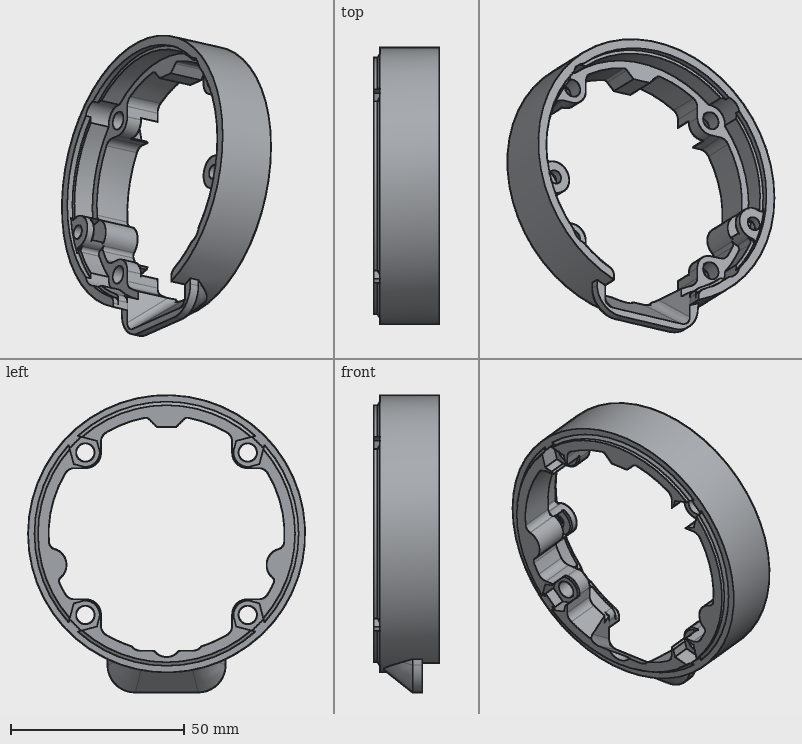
import cadquery as cq
import math


length = 19.0
outer_radius = 40.0
bore_radius = 34.0
bore_depth = 10.8
recess_radius = 36.2

spigot_length = 1.8
spigot_radius = 37.1
spigot_straight = 1.1
spigot_base_radius = 38.1
socket_radius = 37.3
socket_start = 17.2

boss_offset = 23.4
boss_radius = 4.55
boss_blend = 3.0
boss_hole_diameter = 5.2
boss_counterbore_radius = 4.7
nut_corner_radius = 4.7
nut_pocket_depth = 5.6

lobe_y = 33.7
lobe_z = -9.0
lobe_radius = 4.8
lobe_upper_blend = 2.2
lobe_lower_blend = 1.3
lobe_rear_blend = 1.1
lobe_end = 17.9
lobe_hole_diameter = 4.0
lobe_slot_width = 7.7
lobe_slot_start = 11.3
lobe_slot_end = 15.2
lobe_slot_back = 2.15

seat_chamfer = 0.4

tab_bottom_z = 30.7
tab_half_width = 2.75
tab_rise = 3.9
tab_blend = 1.3

spout_end = 14.1
spout_lip = 2.8
spout_bottom_z = -45.85
spout_half_width = 17.1
spout_corner = 8.0
spout_front_bottom_z = -38.4
spout_front_half_width = 10.65
spout_front_corner = 3.4
spout_top_z = -32.6

mouth_half_width = 14.3
mouth_bottom_z = -43.8
mouth_corner = 2.75
mouth_rounding = 2.6
channel_half_width = 10.65
channel_bottom_z = -33.75
channel_corner = 3.1
channel_top_z = -25.8

groove_radius = 4.5
groove_z = -31.1


def plane_at(x):
    """Work plane across the ring axis: local axes are Y and Z, the normal is +X."""
    return cq.Workplane("YZ", origin=(x, 0, 0))


def rod(start, end, radius, y=0, z=0):
    return plane_at(start).center(y, z).circle(radius).extrude(end - start)


def block(start, end, y_min, y_max, z_min, z_max):
    size = (end - start, y_max - y_min, z_max - z_min)
    return cq.Workplane(origin=(start, y_min, z_min)).box(*size, centered=False)


def facing_axis(solid, y, z):
    """Turn a cutter made along +Y so that +Y points from (y, z) to the ring axis, and move it there."""
    angle = math.degrees(math.atan2(-z, -y))
    return solid.rotate((0, 0, 0), (1, 0, 0), angle).translate((0, y, z))


def mirrored(solid):
    return solid.union(solid.mirror("XZ"))


def make_ring():
    profile = [
        (0, 0),
        (0, spigot_radius),
        (spigot_straight, spigot_radius),
        (spigot_length, spigot_base_radius),
        (spigot_length, outer_radius),
        (length, outer_radius),
        (length, 0),
    ]
    return cq.Workplane("XY").polyline(profile).close().revolve(360, (0, 0, 0), (1, 0, 0))


def blend(cavity, y, z, radius):
    """Round the lengthwise cavity edges that lie at (y, z) and its mirror image."""
    reach = 0.4
    bounds = cavity.val().BoundingBox()
    for side in (1, -1):
        low_corner = (bounds.xmin - reach, side * y - reach, z - reach)
        high_corner = (bounds.xmax + reach, side * y + reach, z + reach)
        edge = cavity.edges("|X").edges(cq.selectors.BoxSelector(low_corner, high_corner))
        cavity = edge.fillet(radius)
    return cavity


def make_cavity(start, end, radius, upper_blend, lower_blend):
    """Round cavity with the two side lobes left standing in it."""
    cavity = rod(start, end, radius)
    cavity = cavity.cut(mirrored(rod(start, end, lobe_radius, lobe_y, lobe_z)))
    distance = math.hypot(lobe_y, lobe_z)
    direction = math.atan2(lobe_z, lobe_y)
    spread = math.acos((distance**2 + radius**2 - lobe_radius**2) / (2 * distance * radius))
    for turn, size in ((spread, upper_blend), (-spread, lower_blend)):
        y = radius * math.cos(direction + turn)
        z = radius * math.sin(direction + turn)
        cavity = blend(cavity, y, z, size)
    return cavity


def make_opening(start, end, radius):
    """Opening behind the spout mouth, with rounded edges where it meets a cavity of this radius."""
    outline = trough(start, mouth_half_width, mouth_bottom_z, channel_top_z, mouth_corner)
    lower_part = block(start, end, -outer_radius, outer_radius, -outer_radius, channel_top_z)
    opening = rod(start, end, radius).intersect(lower_part).union(outline.extrude(end - start))
    edge_z = -math.sqrt(radius**2 - mouth_half_width**2)
    return blend(opening, mouth_half_width, edge_z, mouth_rounding)


def make_bore():
    bore = make_cavity(0, bore_depth, bore_radius, lobe_upper_blend, lobe_lower_blend)

    near = boss_offset - boss_radius
    corner = block(0, bore_depth, near, outer_radius, near, outer_radius)
    corner = corner.edges("|X and <Y and <Z").fillet(boss_radius)
    corners = mirrored(corner)
    bore = bore.cut(corners.union(corners.mirror("XY")))
    far = math.sqrt(bore_radius**2 - near**2)
    for y, z in ((near, far), (far, near), (near, -far), (far, -near)):
        bore = blend(bore, y, z, boss_blend)

    tab_top = tab_bottom_z + tab_rise
    tab_top_half_width = tab_half_width + tab_rise
    tab = plane_at(0).polyline([
        (-tab_half_width, tab_bottom_z),
        (tab_half_width, tab_bottom_z),
        (tab_top_half_width, tab_top),
        (-tab_top_half_width, tab_top),
    ]).close().extrude(bore_depth)
    bore = bore.cut(tab)
    flank_shift = tab_bottom_z - tab_half_width
    root_y = (math.sqrt(2 * bore_radius**2 - flank_shift**2) - flank_shift) / 2
    return blend(bore, root_y, root_y + flank_shift, tab_blend)


def trough(x, half_width, bottom, top, corner):
    """Closed outline across X with a flat bottom and two rounded lower corners."""
    diagonal = corner * (1 - math.sqrt(0.5))
    return (
        plane_at(x)
        .moveTo(-half_width, top)
        .lineTo(-half_width, bottom + corner)
        .threePointArc((-half_width + diagonal, bottom + diagonal), (-half_width + corner, bottom))
        .lineTo(half_width - corner, bottom)
        .threePointArc((half_width - diagonal, bottom + diagonal), (half_width, bottom + corner))
        .lineTo(half_width, top)
        .close()
    )


def loft_between(front, rear):
    return cq.Workplane(cq.Solid.makeLoft([front.val(), rear.val()], True))


def make_spout():
    lip_start = spout_end - spout_lip
    front = trough(
        spigot_length, spout_front_half_width, spout_front_bottom_z, spout_top_z, spout_front_corner
    )
    rear = trough(lip_start, spout_half_width, spout_bottom_z, spout_top_z, spout_corner)
    return loft_between(front, rear).union(rear.extrude(spout_lip))


def make_channel():
    front = trough(0, channel_half_width, channel_bottom_z, channel_top_z, channel_corner)
    mouth = trough(spout_end, mouth_half_width, mouth_bottom_z, channel_top_z, mouth_corner)
    groove = rod(0, spout_end, groove_radius, 0, groove_z)
    return loft_between(front, mouth).union(groove)


def seat_bevel(seat, radius, inner_edge, half_width):
    """Cutter that bevels the rim of a nut seat facing the ring axis; +Y points to the axis."""
    seat_end = seat + seat_chamfer
    rim = rod(seat, seat_end, 2 * radius)
    cone = cq.Workplane(cq.Solid.makeCone(
        radius - seat_chamfer, radius, seat_chamfer, cq.Vector(seat, 0, 0), cq.Vector(1, 0, 0)
    ))
    inner_side = block(seat, seat_end, inner_edge, 2 * radius, -half_width, half_width)
    return rim.cut(cone).intersect(inner_side)


def make_boss_cutter():
    """Hexagonal nut pocket, open towards the ring axis, and the hole with its rear counterbore."""
    half = nut_corner_radius / 2
    flat = nut_corner_radius * math.sqrt(0.75)
    pocket = plane_at(0).polygon(6, 2 * nut_corner_radius).extrude(nut_pocket_depth)
    pocket = pocket.rotate((0, 0, 0), (1, 0, 0), 90)
    open_width = (nut_corner_radius + half) / 2
    opening = block(0, nut_pocket_depth, flat / 2, 2 * boss_radius, -open_width, open_width)
    notch = plane_at(0).polyline([
        (0, nut_corner_radius),
        (0, -nut_corner_radius),
        (-2 * flat, 0),
    ]).close().extrude(spigot_length)
    hole = rod(0, bore_depth, boss_hole_diameter / 2)
    bevel = seat_bevel(nut_pocket_depth, boss_radius, flat / 2, open_width)
    counterbore = rod(bore_depth, length, boss_counterbore_radius)
    return pocket.union(opening).union(notch).union(hole).union(bevel).union(counterbore)


def make_lobe_cutter():
    """Nut slot, open towards the ring axis, and the screw hole behind it."""
    half_width = lobe_slot_width / 2
    slot = block(
        lobe_slot_start, lobe_slot_end, -lobe_slot_back, 2 * lobe_radius, -half_width, half_width
    )
    hole = rod(lobe_slot_start, length, lobe_hole_diameter / 2)
    return slot.union(hole).union(seat_bevel(lobe_slot_end, lobe_radius, 0, half_width))


result = make_ring().union(make_spout())
result = result.cut(make_bore())
result = result.cut(make_cavity(bore_depth, socket_start, recess_radius, lobe_rear_blend, lobe_rear_blend))
result = result.cut(make_cavity(socket_start, lobe_end, socket_radius, lobe_rear_blend, lobe_rear_blend))
result = result.cut(rod(lobe_end, length, socket_radius))
result = result.cut(make_channel())
result = result.cut(make_opening(spout_end, socket_start, recess_radius))
result = result.cut(make_opening(socket_start, length, socket_radius))

for y in (boss_offset, -boss_offset):
    for z in (boss_offset, -boss_offset):
        result = result.cut(facing_axis(make_boss_cutter(), y, z))

for y in (lobe_y, -lobe_y):
    result = result.cut(facing_axis(make_lobe_cutter(), y, lobe_z))